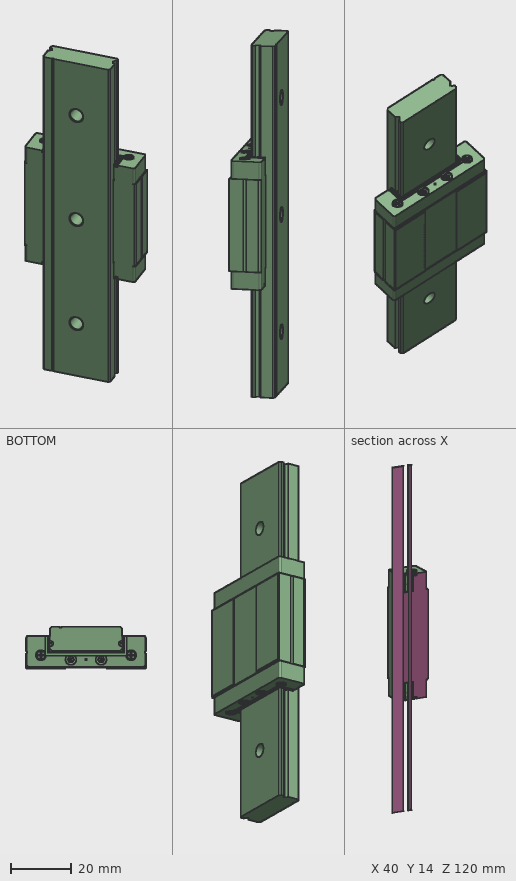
import cadquery as cq

RAIL_LENGTH = 120.0
RAIL_WIDTH = 24.0
RAIL_HEIGHT = 8.0
RAIL_CHAMFER = 0.6
RACE_TOP = 6.5
RACE_ROOT = 5.4
RACE_BOTTOM = 4.7
RACE_DEPTH = 1.1
RACE_MIDDLE_X = 11.3
RACE_LOWER_MIDDLE_Y = 4.9
RACE_UPPER_MIDDLE_Y = 6.2
MARK_X = -8.5
MARK_WIDTH = 0.6
MARK_DEPTH = 0.2
HOLE_DIAMETER = 4.5
HOLE_PITCH = 40.0
HOLE_CHAMFER = 0.2

BLOCK_WIDTH = 40.0
BLOCK_LENGTH = 31.5
CARRIAGE_LENGTH = 43.7
CARRIAGE_SHIFT = 0.2
CARRIAGE_BOTTOM = 3.0
CARRIAGE_TOP = 14.0
BLOCK_TOP_CHAMFER = 0.4
BLOCK_BOTTOM_CHAMFER_X = 0.4
BLOCK_BOTTOM_CHAMFER_Y = 0.8
RELIEF_WIDTH = 13.7
RELIEF_DEPTH = 0.4
SIDE_GROOVE_Y = 8.5
SIDE_GROOVE_WIDTH = 1.0
SIDE_GROOVE_DEPTH = 0.4
CAP_INSET_X = 0.3
CAP_INSET_Y = 0.7
CAP_FILLET = 0.7

CHANNEL_WIDTH = 24.5
CHANNEL_TOP = 8.3
RIDGE_BOTTOM = 5.3
RIDGE_TOP = 5.6
RIDGE_GAP = 23.0
SLIT_INNER_WIDTH = 25.5
SLIT_INNER_TOP = 8.6
SLIT_OUTER_WIDTH = 27.0
SLIT_OUTER_TOP = 9.6
SLIT_DEPTH = 0.7

SCREW_X = 15.0
SCREW_Y = 9.5
SCREW_RECESS_DIAMETER = 3.4
SCREW_HEAD_DIAMETER = 2.9
SCREW_DEPTH = 0.7
CROSS_LENGTH = 2.4
CROSS_WIDTH = 0.5

PLUG_X = 5.0
PLUG_Y = 10.9
PLUG_DIAMETER = 3.6
PLUG_RECESS = 0.5
SOCKET_SIZE = 2.2
SOCKET_DEPTH = 1.0
BORE_DIAMETER = 0.7
BORE_DEPTH = 1.5
PIN_HOLE_DIAMETER = 0.6
PIN_HOLE_DEPTH = 0.7


def prism(width, bottom, top, length):
    """Block centred on X and Z, from Y = bottom to Y = top."""
    return cq.Workplane("XY").box(width, top - bottom, length).translate((0, (bottom + top) / 2, 0))


def drill_at(x, y, diameter, depth):
    """Round cutter that goes down into the upper end face."""
    floor = CARRIAGE_LENGTH / 2 - depth
    return cq.Workplane("XY", origin=(x, y, floor)).circle(diameter / 2).extrude(depth)


def make_rail_bar():
    """Chamfered bar with a pointed-arch ball race along each side."""
    half = RAIL_WIDTH / 2
    root = half - RACE_DEPTH
    bar = prism(RAIL_WIDTH, 0, RAIL_HEIGHT, RAIL_LENGTH).edges("|Z").chamfer(RAIL_CHAMFER)

    for side in (-1, 1):
        race = (
            cq.Workplane("XY", origin=(0, 0, -RAIL_LENGTH / 2))
            .moveTo(side * half, RACE_BOTTOM)
            .threePointArc((side * RACE_MIDDLE_X, RACE_LOWER_MIDDLE_Y), (side * root, RACE_ROOT))
            .threePointArc((side * RACE_MIDDLE_X, RACE_UPPER_MIDDLE_Y), (side * half, RACE_TOP))
            .close()
            .extrude(RAIL_LENGTH)
        )
        bar = bar.cut(race)
    return bar


def make_rail(bar):
    mark = prism(MARK_WIDTH, 0, MARK_DEPTH, RAIL_LENGTH).translate((MARK_X, 0, 0))
    rail = bar.cut(mark)

    holes = (
        cq.Workplane("XZ")
        .pushPoints([(0, -HOLE_PITCH), (0, 0), (0, HOLE_PITCH)])
        .circle(HOLE_DIAMETER / 2)
        .extrude(-RAIL_HEIGHT)
    )
    return rail.cut(holes).faces("<Y").edges("%CIRCLE").chamfer(HOLE_CHAMFER)


def make_block(rail_bar):
    """Metal block that fits round the rail, with a relieved back and side grooves."""
    block = prism(BLOCK_WIDTH, CARRIAGE_BOTTOM, CARRIAGE_TOP, BLOCK_LENGTH)
    block = block.faces(">Y").edges().chamfer(BLOCK_TOP_CHAMFER)
    block = block.cut(prism(RELIEF_WIDTH, CARRIAGE_TOP - RELIEF_DEPTH, CARRIAGE_TOP, BLOCK_LENGTH))

    half = BLOCK_WIDTH / 2
    for side in (-1, 1):
        groove = (
            cq.Workplane("XY", origin=(0, 0, -BLOCK_LENGTH / 2))
            .moveTo(side * half, SIDE_GROOVE_Y - SIDE_GROOVE_WIDTH / 2)
            .threePointArc(
                (side * (half - SIDE_GROOVE_DEPTH), SIDE_GROOVE_Y),
                (side * half, SIDE_GROOVE_Y + SIDE_GROOVE_WIDTH / 2),
            )
            .close()
            .extrude(BLOCK_LENGTH)
        )
        block = block.cut(groove)
        corner = (
            cq.Workplane("XY", origin=(0, 0, -BLOCK_LENGTH / 2))
            .polyline([
                (side * half, CARRIAGE_BOTTOM),
                (side * (half - BLOCK_BOTTOM_CHAMFER_X), CARRIAGE_BOTTOM),
                (side * half, CARRIAGE_BOTTOM + BLOCK_BOTTOM_CHAMFER_Y),
            ])
            .close()
            .extrude(BLOCK_LENGTH)
        )
        block = block.cut(corner)
    return block.cut(rail_bar)


def make_caps():
    """Both end caps, each reaching from one end of the block to one end of the carriage."""
    width = BLOCK_WIDTH - 2 * CAP_INSET_X
    caps = prism(width, CARRIAGE_BOTTOM, CARRIAGE_TOP - CAP_INSET_Y, CARRIAGE_LENGTH)
    caps = caps.edges("|Z").fillet(CAP_FILLET)
    caps = caps.cut(prism(CHANNEL_WIDTH, 0, CHANNEL_TOP, CARRIAGE_LENGTH))

    ridges = prism(CHANNEL_WIDTH, RIDGE_BOTTOM, RIDGE_TOP, CARRIAGE_LENGTH)
    ridges = ridges.cut(prism(RIDGE_GAP, RIDGE_BOTTOM, RIDGE_TOP, CARRIAGE_LENGTH))
    return caps.union(ridges).cut(prism(BLOCK_WIDTH, 0, CARRIAGE_TOP, BLOCK_LENGTH))


def seal_slit():
    floor = CARRIAGE_LENGTH / 2 - SLIT_DEPTH / 2
    outer = prism(SLIT_OUTER_WIDTH, 0, SLIT_OUTER_TOP, SLIT_DEPTH)
    inner = prism(SLIT_INNER_WIDTH, 0, SLIT_INNER_TOP, SLIT_DEPTH)
    return outer.cut(inner).translate((0, 0, floor))


def screw_cut(x):
    """Gap around a flush screw head, and the cross slot in the head."""
    ring = drill_at(x, SCREW_Y, SCREW_RECESS_DIAMETER, SCREW_DEPTH)
    ring = ring.cut(drill_at(x, SCREW_Y, SCREW_HEAD_DIAMETER, SCREW_DEPTH))
    cross = (
        cq.Workplane("XY")
        .box(CROSS_LENGTH, CROSS_WIDTH, SCREW_DEPTH)
        .union(cq.Workplane("XY").box(CROSS_WIDTH, CROSS_LENGTH, SCREW_DEPTH))
        .translate((x, SCREW_Y, CARRIAGE_LENGTH / 2 - SCREW_DEPTH / 2))
    )
    return ring.union(cross)


def plug_cut(x):
    """Recess of a plug, with the hexagon socket and a narrow bore in its floor."""
    socket = (
        cq.Workplane("XY", origin=(x, PLUG_Y, CARRIAGE_LENGTH / 2 - SOCKET_DEPTH))
        .polygon(6, SOCKET_SIZE)
        .extrude(SOCKET_DEPTH)
    )
    bore = drill_at(x, PLUG_Y, BORE_DIAMETER, BORE_DEPTH)
    return drill_at(x, PLUG_Y, PLUG_DIAMETER, PLUG_RECESS).union(socket).union(bore)


def make_carriage(rail_bar):
    carriage = make_block(rail_bar).union(make_caps())

    end_cuts = [seal_slit(), drill_at(0, PLUG_Y, PIN_HOLE_DIAMETER, PIN_HOLE_DEPTH)]
    for side in (-1, 1):
        end_cuts.append(screw_cut(side * SCREW_X))
        end_cuts.append(plug_cut(side * PLUG_X))
    for cutter in end_cuts:
        carriage = carriage.cut(cutter).cut(cutter.mirror("XY"))
    return carriage.translate((0, 0, CARRIAGE_SHIFT))


rail_bar = make_rail_bar()
rail = make_rail(rail_bar)
carriage = make_carriage(rail_bar)
result = cq.Compound.makeCompound([rail.solids().val(), carriage.solids().val()])